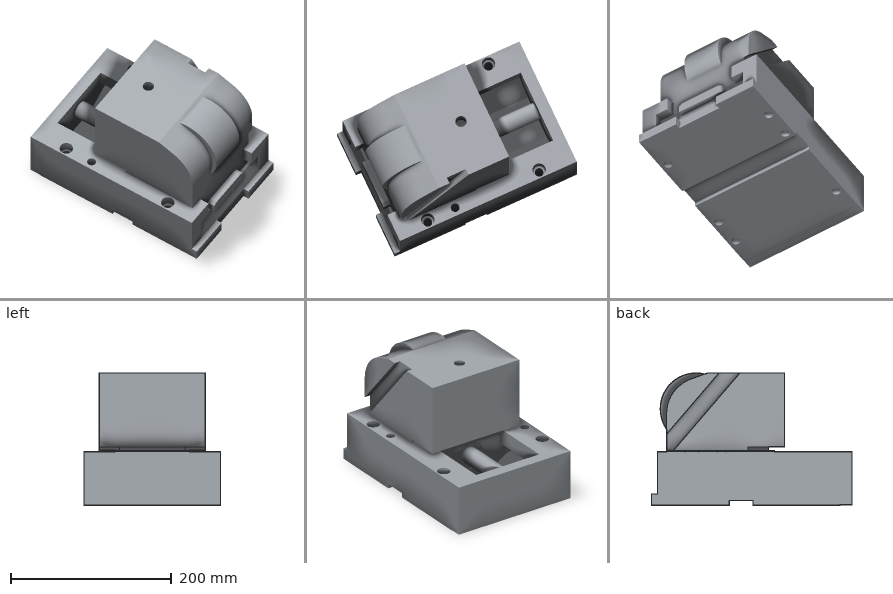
import cadquery as cq
import math

total_length = 250.0
base_length = 242.5
base_width = 170.0
base_height = 67.0
flange_height = 14.5
flange_gap_width = 59.8

relief_length = 15.2
relief_depth = 0.8
key_slot_start = 123.5
key_slot_width = 29.5
key_slot_depth = 6.0

bolt_x = (47.0, 199.8)
fixing_row_y = 75.0
bolt_diameter = 11.0
counterbore_diameter = 16.8
counterbore_depth = 12.5
dowel_diameter = 11.0
dowel_low_x = 85.0
dowel_high_x = 162.2

slide_start = 15.2
slot_width = 95.8
lip_underside = 46.5
ledge_height = 32.5
undercut_width = 130.0
trough_floor_width = 54.8
trough_floor = flange_height
trough_slope = math.radians(30)
trough_top_width = trough_floor_width + 2 * (ledge_height - trough_floor) / math.tan(trough_slope)
end_bevel_start = 234.5

block_start = 84.0
block_end = 231.0
block_width = 132.0
block_top = 165.0
block_bottom = 68.8
slide_neck_start = 96.8
slide_neck_width = 92.5

relief_step_height = 73.0
relief_step_end = 129.8
step_pad_start = 104.0
step_pad_width = 81.2

slope_start = 180.0
slope_end = 201.2
slope_angle = math.radians(20)

drum_radius = 44.8
drum_x = 194.2
drum_z = block_top - drum_radius
drum_width = 50.0

side_groove_start = 139.8
side_groove_mouth = 26.0
side_groove_depth = 8.0
side_groove_angle = math.radians(49.4)

top_hole_x = 119.5
top_hole_diameter = 14.0
top_hole_depth = 20.0
drill_point_angle = math.radians(118)

tail_end = 240.5
tail_width = 63.5
tail_flat_width = 53.0
tail_slope = math.radians(30)

screw_diameter = 22.5
screw_z = 45.2
screw_end_round = 2.5
screw_engagement = 50.0
screw_recess_diameter = 38.5
screw_recess_depth = 1.2
screw_end = slide_neck_start + screw_engagement


def box(x0, x1, width, z0, z1):
    """Box from x0 to x1 and z0 to z1, centred on Y = 0."""
    bottom_plane = cq.Workplane("XY", origin=(x0, 0, z0))
    return bottom_plane.box(x1 - x0, width, z1 - z0, centered=(False, True, False))


def rod_along_x(diameter, x0, x1):
    """Cylinder on the screw axis."""
    return cq.Workplane("YZ", origin=(x0, 0, screw_z)).circle(diameter / 2).extrude(x1 - x0)


def trough(x0, x1):
    """Lower part of the slideway: wide undercut on a ledge, above a trough with sloping sides."""
    sloped = (
        cq.Workplane("YZ", origin=(x0, 0, 0))
        .moveTo(-trough_floor_width / 2, trough_floor)
        .lineTo(trough_floor_width / 2, trough_floor)
        .lineTo(trough_top_width / 2, ledge_height)
        .lineTo(-trough_top_width / 2, ledge_height)
        .close()
        .extrude(x1 - x0)
    )
    return sloped.union(box(x0, x1, undercut_width, ledge_height, lip_underside))


def make_base():
    base = box(0, base_length, base_width, 0, base_height)
    base = base.union(box(base_length, total_length, base_width, 0, flange_height))
    base = base.cut(box(base_length, total_length, flange_gap_width, 0, flange_height))
    base = base.cut(box(0, relief_length, base_width, 0, relief_depth))
    base = base.cut(box(key_slot_start, key_slot_start + key_slot_width, base_width, 0, key_slot_depth))

    base = base.cut(box(slide_start, base_length, slot_width, lip_underside, base_height))
    base = base.cut(trough(slide_start, block_end))
    base = base.cut(box(block_end, base_length, undercut_width, ledge_height, lip_underside))
    bevel = (
        cq.Workplane("XZ", origin=(0, undercut_width / 2, 0))
        .moveTo(end_bevel_start, ledge_height)
        .lineTo(base_length, ledge_height)
        .lineTo(base_length, flange_height)
        .close()
        .extrude(undercut_width)
    )
    base = base.cut(bevel)

    bolts = [(x, y) for x in bolt_x for y in (-fixing_row_y, fixing_row_y)]
    dowels = [(dowel_low_x, -fixing_row_y), (dowel_high_x, fixing_row_y)]
    top = cq.Workplane("XY", origin=(0, 0, base_height))
    base = base.cut(top.pushPoints(bolts).circle(bolt_diameter / 2).extrude(-base_height))
    base = base.cut(top.pushPoints(bolts).circle(counterbore_diameter / 2).extrude(-counterbore_depth))
    return base.cut(top.pushPoints(dowels).circle(dowel_diameter / 2).extrude(-base_height))


def jaw_block():
    """Upper block whose +X top corner falls along a slope into a tangent round."""
    radius = (block_end - slope_end) / (1 - math.sin(slope_angle))
    centre_x = block_end - radius
    slope_end_z = block_top - (slope_end - slope_start) * math.tan(slope_angle)
    centre_z = slope_end_z - radius * math.cos(slope_angle)
    middle = (slope_angle + math.pi / 2) / 2
    arc_middle = (centre_x + radius * math.sin(middle), centre_z + radius * math.cos(middle))
    return (
        cq.Workplane("XZ", origin=(0, block_width / 2, 0))
        .moveTo(block_start, block_bottom)
        .lineTo(block_start, block_top)
        .lineTo(slope_start, block_top)
        .lineTo(slope_end, slope_end_z)
        .threePointArc(arc_middle, (block_end, centre_z))
        .lineTo(block_end, block_bottom)
        .close()
        .extrude(block_width)
    )


def side_groove():
    """Groove in the +Y side, running from the top down toward +X at an angle."""
    fall = block_top - block_bottom
    run = fall / math.tan(side_groove_angle)
    return (
        cq.Workplane("XZ", origin=(0, block_width / 2, 0))
        .moveTo(side_groove_start, block_top)
        .lineTo(side_groove_start + side_groove_mouth, block_top)
        .lineTo(side_groove_start + side_groove_mouth + run, block_bottom)
        .lineTo(side_groove_start + run, block_bottom)
        .close()
        .extrude(side_groove_depth)
    )


def top_hole():
    """Blind drilled hole with a conical bottom."""
    radius = top_hole_diameter / 2
    point_depth = radius / math.tan(drill_point_angle / 2)
    return (
        cq.Workplane("XZ", origin=(top_hole_x, 0, block_top))
        .moveTo(0, 0)
        .lineTo(radius, 0)
        .lineTo(radius, -top_hole_depth)
        .lineTo(0, -top_hole_depth - point_depth)
        .close()
        .revolve(360, (0, 0, 0), (0, 1, 0))
    )


def tail():
    """Short tongue past the +X end of the slide, its upper corners sloped."""
    shoulder = lip_underside - (tail_width - tail_flat_width) / 2 * math.tan(tail_slope)
    return (
        cq.Workplane("YZ", origin=(block_end, 0, 0))
        .moveTo(-tail_width / 2, ledge_height)
        .lineTo(tail_width / 2, ledge_height)
        .lineTo(tail_width / 2, shoulder)
        .lineTo(tail_flat_width / 2, lip_underside)
        .lineTo(-tail_flat_width / 2, lip_underside)
        .lineTo(-tail_width / 2, shoulder)
        .close()
        .extrude(tail_end - block_end)
    )


def make_carriage():
    carriage = jaw_block()
    drum = (
        cq.Workplane("XZ", origin=(drum_x, drum_width / 2, drum_z)).circle(drum_radius).extrude(drum_width)
    )
    carriage = carriage.union(drum)

    step = box(block_start, relief_step_end, block_width, block_bottom, relief_step_height)
    pad = box(step_pad_start, relief_step_end, step_pad_width, block_bottom, relief_step_height)
    carriage = carriage.cut(step.cut(pad))

    carriage = carriage.cut(side_groove())
    carriage = carriage.cut(top_hole())

    carriage = carriage.union(box(slide_neck_start, block_end, slide_neck_width, lip_underside, block_bottom))
    carriage = carriage.union(trough(slide_neck_start, block_end))
    carriage = carriage.union(tail())

    recess_floor = slide_neck_start + screw_recess_depth
    carriage = carriage.cut(rod_along_x(screw_recess_diameter, slide_neck_start, recess_floor))
    return carriage.cut(rod_along_x(screw_diameter, slide_neck_start, screw_end))


def make_screw():
    return rod_along_x(screw_diameter, slide_start, screw_end).faces("<X").edges().fillet(screw_end_round)


base = make_base()
carriage = make_carriage()
screw = make_screw()

result = cq.Compound.makeCompound([base.val(), carriage.val(), screw.val()])